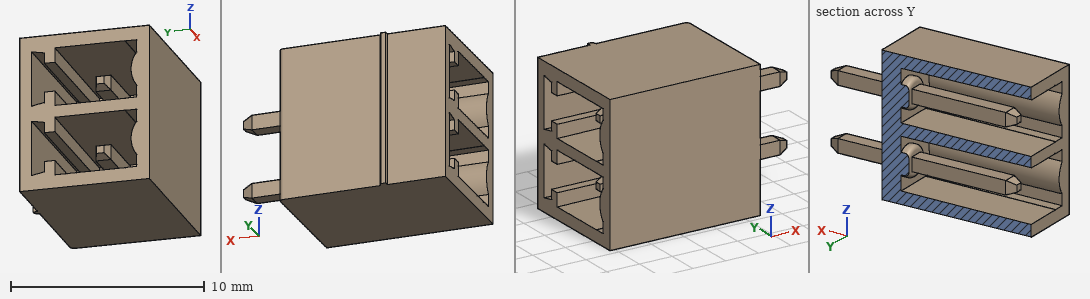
import cadquery as cq

HOUSING_LENGTH = 9.2
HOUSING_DEPTH = 7.0
POLE_COUNT = 2
PITCH = 3.81
END_MARGIN = 2.305
HOUSING_HEIGHT = (POLE_COUNT - 1) * PITCH + 2 * END_MARGIN
BACK_CORNER_RADIUS = 0.25

RIDGE_START = 3.2
RIDGE_BASE_WIDTH = 0.4
RIDGE_TOP_WIDTH = 0.27
RIDGE_HEIGHT = 0.25

CAVITY_DEPTH = 8.0
CHAMBER_Y_MIN = 0.69
CHAMBER_Y_MAX = 5.1
CHAMBER_HALF_HEIGHT = 1.58
CHAMBER_TAPER = 0.06
CHAMBER_STEP_Y = 1.31
CHAMBER_STEP_RISE = 0.01
NECK_Y_MAX = 5.67
NECK_HALF_HEIGHT = 0.79
DOVETAIL_Y_MAX = 6.36
DOVETAIL_INNER_HALF_HEIGHT = 1.36
DOVETAIL_OUTER_HALF_HEIGHT = 1.49

KEY_HALF_WIDTH = 0.91
KEY_RISE = 0.295

PIN_Y = 3.0
PIN_WIDTH = 0.82
PIN_TIP_WIDTH = 0.4
PIN_TIP_LENGTH = 0.55
PIN_START = 1.17
PIN_PROTRUSION = 3.4
PIN_END = HOUSING_LENGTH + PIN_PROTRUSION
COLLAR_DIAMETER = 1.8
COLLAR_HEIGHT = 0.5
COLLAR_ROUND = 0.25


def yz_plane(x, y=0.0, z=0.0):
    """Workplane facing +X with local axes along Y and Z."""
    return cq.Workplane("YZ", origin=(x, y, z))


def make_housing():
    block = cq.Workplane("XY").box(
        HOUSING_LENGTH, HOUSING_DEPTH, HOUSING_HEIGHT, centered=(False, False, True)
    )
    return block.edges("|Z and >X and >Y").fillet(BACK_CORNER_RADIUS)


def make_ridge():
    return (
        cq.Workplane("XY", origin=(RIDGE_START, HOUSING_DEPTH, -HOUSING_HEIGHT / 2))
        .polyline([
            (0, 0),
            (RIDGE_BASE_WIDTH, 0),
            (RIDGE_TOP_WIDTH, RIDGE_HEIGHT),
            (0, RIDGE_HEIGHT),
        ])
        .close()
        .extrude(HOUSING_HEIGHT)
    )


def make_tapered_space(y_min, y_max, half_height, pole_z):
    """Space between two Y positions, narrowing in Z towards the cavity floor."""
    floor_half_height = half_height - CHAMBER_TAPER
    return (
        cq.Workplane("XZ", origin=(0, y_min, pole_z))
        .polyline([
            (0, -half_height),
            (CAVITY_DEPTH, -floor_half_height),
            (CAVITY_DEPTH, floor_half_height),
            (0, half_height),
        ])
        .close()
        .extrude(y_min - y_max)
    )


def make_chamber(pole_z):
    """Main plug space, with a shallow step in its upper and lower walls."""
    narrow_half_height = CHAMBER_HALF_HEIGHT - CHAMBER_STEP_RISE
    narrow_space = make_tapered_space(CHAMBER_Y_MIN, CHAMBER_STEP_Y, narrow_half_height, pole_z)
    wide_space = make_tapered_space(CHAMBER_STEP_Y, CHAMBER_Y_MAX, CHAMBER_HALF_HEIGHT, pole_z)
    return narrow_space.union(wide_space)


def make_dovetail_slot(pole_z):
    """Neck and flared slot that open off the +Y side of the chamber."""
    return (
        yz_plane(0, z=pole_z)
        .polyline([
            (CHAMBER_Y_MAX, -NECK_HALF_HEIGHT),
            (NECK_Y_MAX, -NECK_HALF_HEIGHT),
            (NECK_Y_MAX, -DOVETAIL_INNER_HALF_HEIGHT),
            (DOVETAIL_Y_MAX, -DOVETAIL_OUTER_HALF_HEIGHT),
            (DOVETAIL_Y_MAX, DOVETAIL_OUTER_HALF_HEIGHT),
            (NECK_Y_MAX, DOVETAIL_INNER_HALF_HEIGHT),
            (NECK_Y_MAX, NECK_HALF_HEIGHT),
            (CHAMBER_Y_MAX, NECK_HALF_HEIGHT),
        ])
        .close()
        .extrude(CAVITY_DEPTH)
    )


def make_key_rib(pole_z):
    return (
        yz_plane(0, CHAMBER_Y_MIN, pole_z)
        .moveTo(0, -KEY_HALF_WIDTH)
        .threePointArc((KEY_RISE, 0), (0, KEY_HALF_WIDTH))
        .close()
        .extrude(CAVITY_DEPTH)
    )


def make_cavity(pole_z):
    cavity = make_chamber(pole_z).union(make_dovetail_slot(pole_z))
    return cavity.cut(make_key_rib(pole_z))


def make_collar(pole_z):
    return (
        yz_plane(CAVITY_DEPTH, PIN_Y, pole_z)
        .circle(COLLAR_DIAMETER / 2)
        .extrude(-COLLAR_HEIGHT)
        .faces("<X")
        .edges()
        .fillet(COLLAR_ROUND)
    )


def make_pin_tip(x_tip, x_shank, pole_z):
    return (
        yz_plane(x_tip, PIN_Y, pole_z)
        .rect(PIN_TIP_WIDTH, PIN_TIP_WIDTH)
        .workplane(offset=x_shank - x_tip)
        .rect(PIN_WIDTH, PIN_WIDTH)
        .loft(ruled=True)
    )


def make_pin(pole_z):
    shank_start = PIN_START + PIN_TIP_LENGTH
    shank_end = PIN_END - PIN_TIP_LENGTH
    shank = (
        yz_plane(shank_start, PIN_Y, pole_z)
        .rect(PIN_WIDTH, PIN_WIDTH)
        .extrude(shank_end - shank_start)
    )
    mating_tip = make_pin_tip(PIN_START, shank_start, pole_z)
    solder_tip = make_pin_tip(PIN_END, shank_end, pole_z)
    return shank.union(mating_tip).union(solder_tip)


result = make_housing().union(make_ridge())
for pole in range(POLE_COUNT):
    pole_axis_z = (pole - (POLE_COUNT - 1) / 2) * PITCH
    result = result.cut(make_cavity(pole_axis_z))
    result = result.union(make_collar(pole_axis_z))
    result = result.union(make_pin(pole_axis_z))